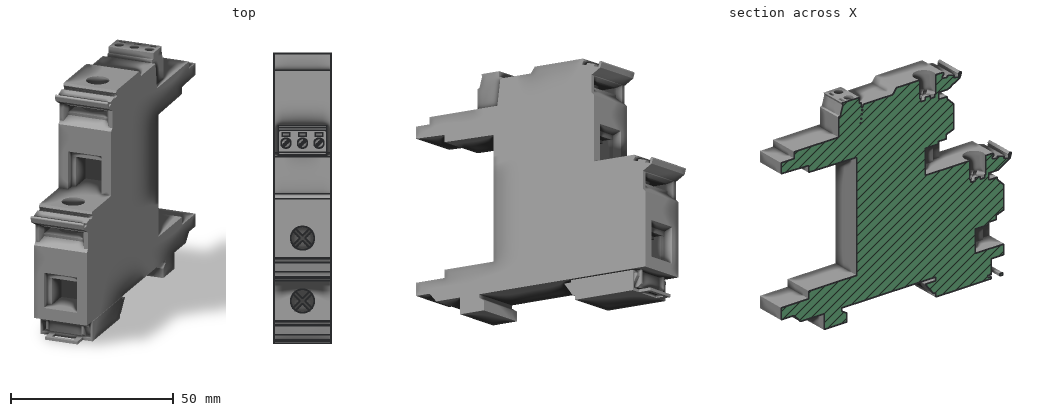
import cadquery as cq


WIDTH = 17.6
DEPTH = 89.2
TOP = 70.0
CLIP_BOTTOM = -6.81

TIER_SETBACK = 19.35
TIER_RISE = 33.15
LOWER_TOP = 36.0
UPPER_TOP = LOWER_TOP + TIER_RISE
TIERS = ((0.0, LOWER_TOP), (TIER_SETBACK, UPPER_TOP))

FRONT_FACE = 2.87
CHEEK_FACE = 3.77
CHEEK_TOP = 5.6
CHEEK_BOTTOM = 11.2
FACE_TOP = 12.1

RECESS_WIDTH = 13.0
RECESS_MOUTH_WIDTH = 15.0
RECESS_CEILING = 6.5
CEILING_STEP = 0.15
RECESS_FLOOR = 8.7
SLOPE_TOP = 9.6
FLOOR_SLOPE = (CHEEK_FACE - FRONT_FACE) / (FACE_TOP - CHEEK_BOTTOM)
RECESS_BACK = FRONT_FACE + (FACE_TOP - SLOPE_TOP) * FLOOR_SLOPE
SCREW_Y = 13.05
SCREW_DIAMETER = 9.4
SCREW_HOLE_DIAMETER = 7.2
CROSS_SLOT_WIDTH = 1.1
CROSS_SLOT_DEPTH = 1.0

ENTRY_WIDTH = 11.1
ENTRY_TOP = 20.65
ENTRY_STEP = 21.65
INNER_TOP = 23.2
CAGE_TOP = 24.1
INNER_WIDTH = 8.7
ENTRY_DEPTH = 2.9
TAPER_DEPTH = 0.55
INNER_DEPTH = 6.0
CAGE_DEPTH = 11.0
LOWER_ENTRY_FLOOR = 3.77
UPPER_ENTRY_FLOOR = LOWER_TOP

SHOULDER_TOP = 67.2
SHOULDER_FRONT = 46.0
SHOULDER_RAMP = 1.5
REAR_WALL_TOP_Y = 57.45
REAR_WALL_FOOT_Y = 58.6

ARM_TOP = 58.75
BAY_WALL = 59.95
ARM_STEP = 78.5
TONGUE_START = 84.1
ARM_DRAFT = 0.3
UPPER_ARM_BOTTOM = 49.7
UPPER_TONGUE_BOTTOM = 52.3
UPPER_TONGUE_TOP = 56.45
LOWER_ARM_TOP = 9.6
LOWER_TONGUE_TOP = 7.0
LOWER_TONGUE_BOTTOM = 2.8
LOWER_ARM_BEVEL_START = 81.6

FOOT_FRONT = 63.6
FOOT_NECK = 65.55
FOOT_REAR = 72.6
FOOT_BOTTOM = -5.35
HOOK_TOP = -1.0
HOOK_EDGE = -2.25

TERMINAL_WIDTH = 14.9
TERMINAL_REAR = 67.0
LEDGE_REAR_TOP = 65.5
LEDGE_FRONT = 66.3
LEDGE_FRONT_TOP = 65.7
TERMINAL_BACK_TOP_Y = 65.3
OVERHANG_BOTTOM = 69.2
TERMINAL_TOP_REAR = 65.6
TERMINAL_TOP_FRONT = 58.85
FRONT_STEP_TOP = 68.05
FRONT_STEP_Y = 58.0
FRONT_STEP_BOTTOM = 66.4
TERMINAL_FRONT = 57.6
POLE_PITCH = 5.08
POLES = 3
POLE_Y = 61.6
POLE_HOLE_DIAMETER = 3.0
POLE_HOLE_DEPTH = 1.4
POLE_SLOT_WIDTH = 0.6
POLE_SLOT_DEPTH = 0.5
POLE_SLOT_ANGLE = 45
TEST_SLOT_Y = 64.3
TEST_SLOT_LENGTH = 2.2
TEST_SLOT_WIDTH = 1.0
TEST_SLOT_DEPTH = 1.0

CLIP_WIDTH = 17.38
CLIP_TOP = -0.35
CLIP_FRONT = 7.65
CLIP_REAR = 33.3
CLIP_STEP = 29.35
CLIP_SHOULDER = 31.0
CLIP_BEVEL_START = 30.2
CLIP_BEVEL_TOP = -1.4
FLANGE_BOTTOM = -1.1
CLIP_WALL = 0.7
CLIP_FLOOR_TOP = -5.9
GUIDE_WIDTH = 12.5
GUIDE_FRONT = 6.2
GUIDE_CORE_WIDTH = 11.1
GUIDE_CHAMFER_TOP = -4.4
WING_FRONT = 6.8
WING_WIDTH = 15.4
WING_SLOPE_TOP = -2.0
WING_SLOPE = 2.1
SPINE_WIDTH = 9.2
SPINE_FRONT = 9.0
LATCH_TAB_FRONT = 3.37
LATCH_TAB_WIDTH = 10.9
TAB_SLOT_LENGTH = 7.3
TAB_BAR = 1.3


def slab(points, width):
    """Side outline (Y, Z) extruded symmetrically across X."""
    return cq.Workplane("YZ").polyline(points).close().extrude(width / 2, both=True)


def block(width, y_front, y_rear, z_low, z_high):
    """Box centred on X between two Y and two Z planes."""
    return slab([(y_front, z_low), (y_rear, z_low), (y_rear, z_high), (y_front, z_high)], width)


def tier_block(y_lip, z_top, width, y_front, y_rear, depth_low, depth_high):
    """Box placed relative to the lip tip and the top of a tier."""
    return block(width, y_lip + y_front, y_lip + y_rear, z_top - depth_low, z_top - depth_high)


def trace_tier_front(outline, y_lip, z_top):
    """Continue the housing outline down one tier front: marker groove, curled lip and cheek."""

    def at(y, below_top):
        return (y_lip + y, z_top - below_top)

    return (
        outline.lineTo(*at(7.05, 0))
        .lineTo(*at(6.7, 0.75))
        .lineTo(*at(7.3, 1.5))
        .lineTo(*at(7.3, 1.95))
        .lineTo(*at(5.7, 2.15))
        .lineTo(*at(5.45, 1.55))
        .lineTo(*at(2.65, 2.3))
        .lineTo(*at(2.9, 3.0))
        .lineTo(*at(1.2, 3.4))
        .lineTo(*at(1.0, 2.6))
        .lineTo(*at(1.15, 2.3))
        .lineTo(*at(0.6, 1.65))
        .threePointArc(at(0.15, 1.8), at(0, 2.2))
        .lineTo(*at(0.5, 3.75))
        .lineTo(*at(CHEEK_FACE, CHEEK_TOP))
        .lineTo(*at(CHEEK_FACE, CHEEK_BOTTOM))
        .lineTo(*at(FRONT_FACE, FACE_TOP))
    )


def make_housing():
    """Main body: a C-shaped side outline with two rear arms and a rail foot."""
    outline = (
        cq.Workplane("YZ")
        .moveTo(REAR_WALL_TOP_Y, SHOULDER_TOP)
        .lineTo(SHOULDER_FRONT, SHOULDER_TOP)
        .lineTo(SHOULDER_FRONT - SHOULDER_RAMP, UPPER_TOP)
    )
    outline = trace_tier_front(outline, TIER_SETBACK, UPPER_TOP)
    outline = outline.lineTo(FRONT_FACE + TIER_SETBACK, LOWER_TOP)
    outline = trace_tier_front(outline, 0.0, LOWER_TOP).lineTo(FRONT_FACE, 0)
    rear_points = [
        (FOOT_NECK, 0),
        (FOOT_NECK, HOOK_TOP),
        (FOOT_FRONT, HOOK_EDGE),
        (FOOT_FRONT, FOOT_BOTTOM),
        (FOOT_REAR, FOOT_BOTTOM),
        (FOOT_REAR, 0),
        (LOWER_ARM_BEVEL_START, 0),
        (TONGUE_START, LOWER_TONGUE_BOTTOM),
        (DEPTH, LOWER_TONGUE_BOTTOM),
        (DEPTH, LOWER_TONGUE_TOP),
        (ARM_STEP, LOWER_TONGUE_TOP),
        (ARM_STEP, LOWER_ARM_TOP),
        (BAY_WALL, LOWER_ARM_TOP),
        (BAY_WALL, UPPER_ARM_BOTTOM),
        (ARM_STEP, UPPER_ARM_BOTTOM + ARM_DRAFT),
        (ARM_STEP, UPPER_TONGUE_BOTTOM),
        (DEPTH, UPPER_TONGUE_BOTTOM + ARM_DRAFT),
        (DEPTH, UPPER_TONGUE_TOP),
        (TONGUE_START, UPPER_TONGUE_TOP),
        (TONGUE_START, ARM_TOP),
        (REAR_WALL_FOOT_Y, ARM_TOP),
    ]
    for point in rear_points:
        outline = outline.lineTo(*point)
    return outline.close().extrude(WIDTH / 2, both=True)


def make_recess(y_lip, z_top):
    """Space under the lip, with splayed mouth, sloping floor and ceiling, open to the screw."""
    ceiling_front = CHEEK_TOP + CEILING_STEP
    mouth = slab(
        [
            (y_lip + FRONT_FACE, z_top - FACE_TOP),
            (y_lip + RECESS_BACK, z_top - SLOPE_TOP),
            (y_lip + RECESS_BACK, z_top - RECESS_CEILING),
            (y_lip + CHEEK_FACE, z_top - ceiling_front),
            (y_lip + FRONT_FACE, z_top - ceiling_front),
        ],
        WIDTH,
    )
    splay = (
        cq.Workplane("XY")
        .workplane(offset=z_top - FACE_TOP)
        .polyline(
            [
                (-RECESS_MOUTH_WIDTH / 2, y_lip + CHEEK_FACE),
                (RECESS_MOUTH_WIDTH / 2, y_lip + CHEEK_FACE),
                (RECESS_WIDTH / 2, y_lip + RECESS_BACK),
                (-RECESS_WIDTH / 2, y_lip + RECESS_BACK),
            ]
        )
        .close()
        .extrude(FACE_TOP)
    )
    chamber = tier_block(y_lip, z_top, RECESS_WIDTH, RECESS_BACK, SCREW_Y, RECESS_FLOOR, RECESS_CEILING)
    screw = (
        cq.Workplane("XY")
        .workplane(offset=z_top - RECESS_FLOOR)
        .center(0, y_lip + SCREW_Y)
        .circle(SCREW_DIAMETER / 2)
        .extrude(RECESS_FLOOR - RECESS_CEILING)
    )
    return mouth.intersect(splay).union(chamber.cut(screw))


def make_screw_access(y_lip, z_top):
    """Round driver hole down to the screw head and the cross slot in that head."""
    hole = (
        cq.Workplane("XY")
        .workplane(offset=z_top - RECESS_CEILING)
        .center(0, y_lip + SCREW_Y)
        .circle(SCREW_HOLE_DIAMETER / 2)
        .extrude(RECESS_CEILING)
    )
    cross = cq.Workplane("XY")
    for angle in (45, -45):
        bar = (
            cq.Workplane("XY")
            .box(SCREW_HOLE_DIAMETER, CROSS_SLOT_WIDTH, CROSS_SLOT_DEPTH, centered=(True, True, False))
            .rotate((0, 0, 0), (0, 0, 1), angle)
        )
        cross = cross.union(bar)
    cross_bottom = z_top - RECESS_CEILING - CROSS_SLOT_DEPTH
    return hole.union(cross.translate((0, y_lip + SCREW_Y, cross_bottom)))


def make_wire_entry(y_lip, z_top, z_floor):
    """Rectangular funnel in the front face, narrowing in steps to the clamping cage."""
    y_face = y_lip + FRONT_FACE
    y_taper = y_face + ENTRY_DEPTH
    y_inner = y_taper + TAPER_DEPTH
    mouth = slab(
        [
            (y_face, z_floor),
            (y_taper, z_floor),
            (y_taper, z_top - ENTRY_STEP),
            (y_face, z_top - ENTRY_TOP),
        ],
        ENTRY_WIDTH,
    )
    taper = (
        cq.Workplane("XY")
        .workplane(offset=z_floor)
        .polyline(
            [
                (-ENTRY_WIDTH / 2, y_taper),
                (ENTRY_WIDTH / 2, y_taper),
                (INNER_WIDTH / 2, y_inner),
                (-INNER_WIDTH / 2, y_inner),
            ]
        )
        .close()
        .extrude(z_top - INNER_TOP - z_floor)
    )
    inner = block(INNER_WIDTH, y_inner, y_face + INNER_DEPTH, z_floor, z_top - INNER_TOP)
    cage = block(INNER_WIDTH, y_inner, y_face + CAGE_DEPTH, z_floor, z_top - CAGE_TOP)
    return mouth.union(taper).union(inner).union(cage)


def make_terminal():
    """Plug-in terminal with three slotted screws and their test slots."""
    body = slab(
        [
            (TERMINAL_REAR, ARM_TOP),
            (TERMINAL_REAR, LEDGE_REAR_TOP),
            (LEDGE_FRONT, LEDGE_FRONT_TOP),
            (TERMINAL_BACK_TOP_Y, OVERHANG_BOTTOM),
            (TERMINAL_TOP_REAR, TOP),
            (TERMINAL_TOP_FRONT, TOP),
            (TERMINAL_TOP_FRONT, FRONT_STEP_TOP),
            (FRONT_STEP_Y, FRONT_STEP_TOP),
            (FRONT_STEP_Y, FRONT_STEP_BOTTOM),
            (TERMINAL_FRONT, FRONT_STEP_BOTTOM),
            (REAR_WALL_FOOT_Y, ARM_TOP),
        ],
        TERMINAL_WIDTH,
    )
    for index in range(POLES):
        x = (index - (POLES - 1) / 2) * POLE_PITCH
        hole = (
            cq.Workplane("XY")
            .workplane(offset=TOP - POLE_HOLE_DEPTH)
            .center(x, POLE_Y)
            .circle(POLE_HOLE_DIAMETER / 2)
            .extrude(POLE_HOLE_DEPTH)
        )
        driver_slot = (
            cq.Workplane("XY")
            .box(POLE_HOLE_DIAMETER, POLE_SLOT_WIDTH, POLE_SLOT_DEPTH, centered=(True, True, False))
            .rotate((0, 0, 0), (0, 0, 1), POLE_SLOT_ANGLE)
            .translate((x, POLE_Y, TOP - POLE_HOLE_DEPTH - POLE_SLOT_DEPTH))
        )
        test_slot = (
            cq.Workplane("XY")
            .box(TEST_SLOT_LENGTH, TEST_SLOT_WIDTH, TEST_SLOT_DEPTH, centered=(True, True, False))
            .translate((x, TEST_SLOT_Y, TOP - TEST_SLOT_DEPTH))
        )
        body = body.cut(hole).cut(driver_slot).cut(test_slot)
    return body


def make_rail_clip():
    """Sliding clip: an open channel around the guide under the housing, with a looped pull tab."""
    shell = slab(
        [
            (CLIP_FRONT, CLIP_BOTTOM),
            (CLIP_STEP, CLIP_BOTTOM),
            (CLIP_STEP, FOOT_BOTTOM),
            (CLIP_BEVEL_START, FOOT_BOTTOM),
            (CLIP_REAR, CLIP_BEVEL_TOP),
            (CLIP_REAR, FLANGE_BOTTOM),
            (CLIP_SHOULDER, FLANGE_BOTTOM),
            (CLIP_SHOULDER, CLIP_TOP),
            (CLIP_FRONT, CLIP_TOP),
        ],
        CLIP_WIDTH,
    )
    cavity_width = CLIP_WIDTH - 2 * CLIP_WALL
    cavity = block(cavity_width, CLIP_FRONT, CLIP_STEP, CLIP_FLOOR_TOP, FLANGE_BOTTOM)
    gap = block(GUIDE_WIDTH, CLIP_FRONT, CLIP_SHOULDER, FLANGE_BOTTOM, CLIP_TOP)
    tab = block(LATCH_TAB_WIDTH, LATCH_TAB_FRONT, CLIP_FRONT, CLIP_BOTTOM, CLIP_FLOOR_TOP)
    slot_front = LATCH_TAB_FRONT + TAB_BAR
    tab_slot = block(TAB_SLOT_LENGTH, slot_front, CLIP_FRONT, CLIP_BOTTOM, CLIP_FLOOR_TOP)
    return shell.cut(cavity).cut(gap).union(tab.cut(tab_slot))


def make_clip_guide():
    """Guide under the housing that fills the clip channel, leaving a gap above the clip floor."""
    rails = slab(
        [
            (GUIDE_FRONT, 0),
            (CLIP_STEP, 0),
            (CLIP_STEP, FOOT_BOTTOM),
            (CLIP_FRONT, FOOT_BOTTOM),
            (GUIDE_FRONT, GUIDE_CHAMFER_TOP),
        ],
        GUIDE_WIDTH,
    )
    core_front = block(GUIDE_CORE_WIDTH, GUIDE_FRONT, CLIP_FRONT, FOOT_BOTTOM, 0)
    wings = slab(
        [
            (WING_FRONT, FLANGE_BOTTOM),
            (CLIP_STEP, FLANGE_BOTTOM),
            (CLIP_STEP, FOOT_BOTTOM),
            (WING_FRONT + WING_SLOPE, FOOT_BOTTOM),
            (WING_FRONT, WING_SLOPE_TOP),
        ],
        WING_WIDTH,
    ).cut(core_front)
    spine = block(SPINE_WIDTH, SPINE_FRONT, CLIP_STEP, CLIP_FLOOR_TOP, FOOT_BOTTOM)
    return rails.cut(core_front).union(wings).union(spine)


result = make_housing()
for (y_lip, z_top), z_floor in zip(TIERS, (LOWER_ENTRY_FLOOR, UPPER_ENTRY_FLOOR)):
    result = result.cut(make_recess(y_lip, z_top))
    result = result.cut(make_screw_access(y_lip, z_top))
    result = result.cut(make_wire_entry(y_lip, z_top, z_floor))
result = result.union(make_terminal()).union(make_rail_clip())
result = result.union(make_clip_guide())